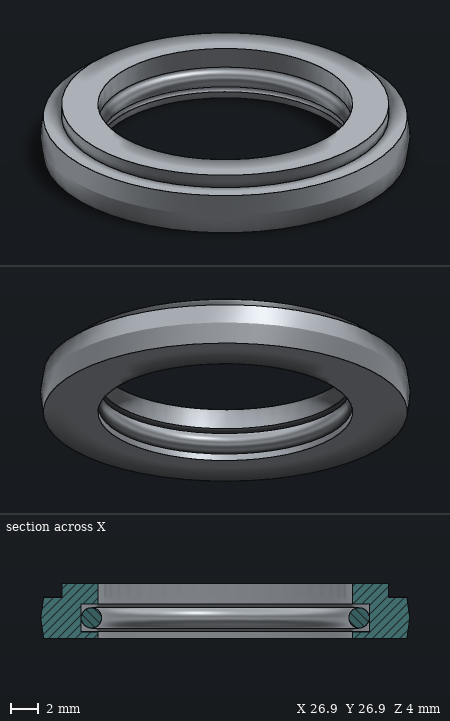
import cadquery as cq

outer_radius = 13.45
rim_edge_radius = 13.23
rim_height = 3.0
shoulder_radius = 11.9
total_height = 4.0
bore_radius = 9.25

groove_bottom = 0.5
groove_height = 2.0
seal_inner_radius = 8.98
seal_section_radius = 0.75

rim_middle = rim_height / 2
groove_top = groove_bottom + groove_height
seal_center_radius = seal_inner_radius + seal_section_radius
seal_center_height = groove_bottom + groove_height / 2
groove_radius = seal_center_radius + seal_section_radius


def make_housing():
    """Revolve the stepped ring with its double-tapered rim and seal groove."""
    profile = (
        cq.Workplane("XZ")
        .moveTo(bore_radius, 0)
        .lineTo(rim_edge_radius, 0)
        .lineTo(outer_radius, rim_middle)
        .lineTo(rim_edge_radius, rim_height)
        .lineTo(shoulder_radius, rim_height)
        .lineTo(shoulder_radius, total_height)
        .lineTo(bore_radius, total_height)
        .lineTo(bore_radius, groove_top)
        .lineTo(groove_radius, groove_top)
        .lineTo(groove_radius, groove_bottom)
        .lineTo(bore_radius, groove_bottom)
        .close()
    )
    return profile.revolve(360, (0, 0, 0), (0, 1, 0))


def make_seal():
    """Revolve the round O-ring section, centered in the groove and touching its floor."""
    section = (
        cq.Workplane("XZ")
        .center(seal_center_radius, seal_center_height)
        .circle(seal_section_radius)
    )
    return section.revolve(360, (-seal_center_radius, 0, 0), (-seal_center_radius, 1, 0))


housing = make_housing()
seal = make_seal()

result = cq.Compound.makeCompound([housing.val(), seal.val()])